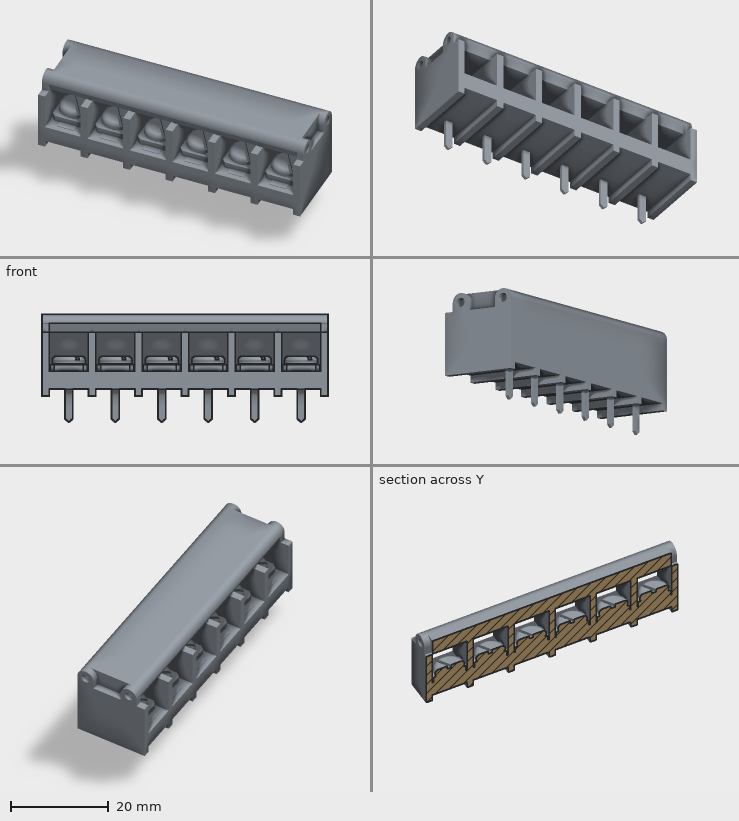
import cadquery as cq
import math


length = 58.5
cell_count = 6
wall_thickness = 1.5
cell_width = (length - (cell_count + 1) * wall_thickness) / cell_count
cell_pitch = cell_width + wall_thickness
cell_centers = [(i - (cell_count - 1) / 2) * cell_pitch for i in range(cell_count)]

depth = 16.0
wall_height = 13.05
foot_height = 1.45
floor_height = 5.1
cell_depth = 10.8

top_height = 16.8
edge_radius = 1.95
cover_front = 1.9
lip_setback = 0.8
hinge_hole_diameter = 1.9
cover_length = length - 2 * wall_thickness
hinge_height = top_height - edge_radius
front_hinge_y = cover_front + edge_radius
back_hinge_y = depth - edge_radius

plate_width = 7.6
plate_chamfer = 0.8
plate_top = 6.45
plate_front = 2.7
tab_width = 3.75
tab_front = 1.2
tab_height = 0.1
screw_y = plate_front + plate_width / 2

screw_diameter = 6.85
screw_top = 8.2
head_round = 0.95
head_bottom_chamfer = 0.25
slot_width = 0.7
slot_depth = 0.75
slot_angle = 123.0

pin_width = 1.65
pin_thickness = 0.7
pin_y = 12.05
pin_tip_height = 0.7
pin_bottom = -5.3


def box(x_center, x_size, y_min, y_max, z_min, z_max):
    """Box centred on x_center, given by its limits in Y and Z."""
    return (
        cq.Workplane("XY")
        .box(x_size, y_max - y_min, z_max - z_min, centered=(True, False, False))
        .translate((x_center, y_min, z_min))
    )


def make_cover():
    """Cover bar with rounded top edges and a front face that leans back to the lip."""
    arc_offset = edge_radius * math.sqrt(0.5)
    return (
        cq.Workplane("YZ", origin=(-cover_length / 2, 0, 0))
        .moveTo(cover_front + lip_setback, wall_height)
        .lineTo(cover_front, hinge_height)
        .threePointArc(
            (front_hinge_y - arc_offset, hinge_height + arc_offset),
            (front_hinge_y, top_height),
        )
        .lineTo(back_hinge_y, top_height)
        .threePointArc(
            (back_hinge_y + arc_offset, hinge_height + arc_offset),
            (depth, hinge_height),
        )
        .lineTo(depth, wall_height)
        .close()
        .extrude(cover_length)
    )


def make_lug(x_center, hinge_y):
    """Round-topped lug standing on an end wall, with its hinge hole."""
    side_plane = cq.Workplane("YZ", origin=(x_center - wall_thickness / 2, hinge_y, hinge_height))
    lug = (
        side_plane.moveTo(-edge_radius, wall_height - hinge_height)
        .lineTo(-edge_radius, 0)
        .threePointArc((0, edge_radius), (edge_radius, 0))
        .lineTo(edge_radius, wall_height - hinge_height)
        .close()
        .extrude(wall_thickness)
    )
    hole = side_plane.circle(hinge_hole_diameter / 2).extrude(wall_thickness)
    return lug.cut(hole)


def make_plate(x):
    """Square clamp plate with cut corners."""
    plate = box(x, plate_width, plate_front, plate_front + plate_width, floor_height, plate_top)
    return plate.edges("|Z").chamfer(plate_chamfer)


def make_screw(x):
    """Rounded screw head with a slanted driver slot."""
    head = (
        cq.Workplane("XY", origin=(x, screw_y, plate_top))
        .circle(screw_diameter / 2)
        .extrude(screw_top - plate_top)
        .faces(">Z")
        .edges()
        .fillet(head_round)
        .faces("<Z")
        .edges()
        .chamfer(head_bottom_chamfer)
    )
    slot = (
        cq.Workplane("XY", origin=(x, screw_y, screw_top - slot_depth))
        .transformed(rotate=(0, 0, slot_angle))
        .rect(2 * screw_diameter, slot_width)
        .extrude(2 * slot_depth)
    )
    return head.cut(slot)


def make_pin(x):
    """Flat pin below the body, pointed at its lower end."""
    half_width = pin_width / 2
    shoulder = pin_bottom + pin_tip_height
    return (
        cq.Workplane("XZ", origin=(x, pin_y, 0))
        .moveTo(-half_width, foot_height)
        .lineTo(-half_width, shoulder)
        .lineTo(0, pin_bottom)
        .lineTo(half_width, shoulder)
        .lineTo(half_width, foot_height)
        .close()
        .extrude(pin_thickness / 2, both=True)
    )


result = box(0, length, 0, depth, 0, wall_height)

for x in cell_centers:
    result = result.cut(box(x, cell_width, 0, cell_depth, floor_height, wall_height))
    result = result.cut(box(x, cell_width, 0, depth, 0, foot_height))

result = result.union(make_cover())

for side in (-1, 1):
    for hinge_y in (front_hinge_y, back_hinge_y):
        result = result.union(make_lug(side * (length - wall_thickness) / 2, hinge_y))

for x in cell_centers:
    tab = box(x, tab_width, tab_front, screw_y, floor_height, floor_height + tab_height)
    for piece in (tab, make_plate(x), make_screw(x), make_pin(x)):
        result = result.union(piece)